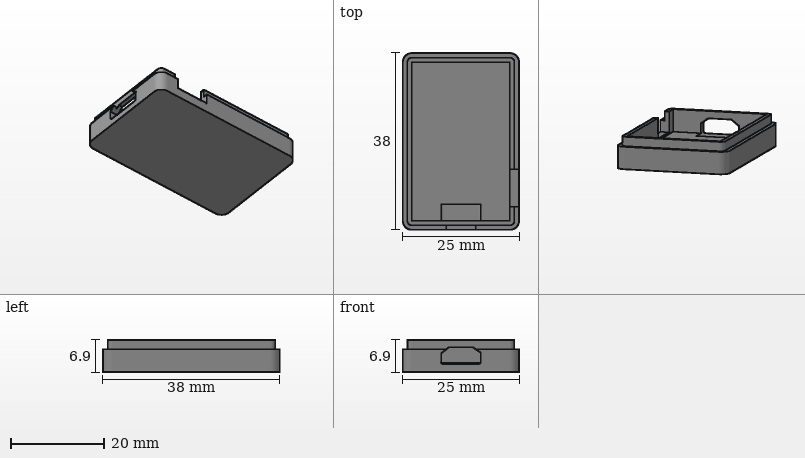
import cadquery as cq

LENGTH_X = 25.0
LENGTH_Y = 38.0
TOTAL_HEIGHT = 6.9
LIP_HEIGHT = 2.0
SHOULDER_Z = TOTAL_HEIGHT - LIP_HEIGHT
FLOOR_THICKNESS = 2.0

STEP_WIDTH = 1.0
LIP_THICKNESS = 1.0
WALL_THICKNESS = STEP_WIDTH + LIP_THICKNESS
CORNER_RADIUS = 2.0
LIP_CORNER_RADIUS = CORNER_RADIUS - STEP_WIDTH

PORT_WIDTH = 8.5
PORT_TOP_WIDTH = 5.2
PORT_BOTTOM_Z = 1.7
PORT_LEFT_SHOULDER_Z = 4.0
PORT_RIGHT_SHOULDER_Z = 4.15
PORT_TOP_Z = 5.3
PORT_CORNER_RADIUS = 0.5
PORT_DEPTH = 5.5

NOTCH_WIDTH = 8.0
NOTCH_CENTER_Y = -10.0
NOTCH_BOTTOM_Z = 2.4


def rounded_block(length_x, length_y, height, radius):
    """Upright block on Z = 0 with rounded vertical corners."""
    block = cq.Workplane("XY").box(length_x, length_y, height, centered=(True, True, False))
    return block.edges("|Z").fillet(radius)


def tray():
    """Open tray whose rim is stepped in to leave a lip."""
    base = rounded_block(LENGTH_X, LENGTH_Y, SHOULDER_Z, CORNER_RADIUS)
    lip = rounded_block(
        LENGTH_X - 2 * STEP_WIDTH,
        LENGTH_Y - 2 * STEP_WIDTH,
        TOTAL_HEIGHT,
        LIP_CORNER_RADIUS,
    )
    cavity = (
        cq.Workplane("XY")
        .workplane(offset=FLOOR_THICKNESS)
        .rect(LENGTH_X - 2 * WALL_THICKNESS, LENGTH_Y - 2 * WALL_THICKNESS)
        .extrude(TOTAL_HEIGHT - FLOOR_THICKNESS)
    )
    return base.union(lip).cut(cavity)


def port_cutter():
    """Connector profile with sloped upper corners and rounded lower corners."""
    half_width = PORT_WIDTH / 2
    half_top = PORT_TOP_WIDTH / 2
    profile = [
        (-half_width, PORT_BOTTOM_Z),
        (half_width, PORT_BOTTOM_Z),
        (half_width, PORT_RIGHT_SHOULDER_Z),
        (half_top, PORT_TOP_Z),
        (-half_top, PORT_TOP_Z),
        (-half_width, PORT_LEFT_SHOULDER_Z),
    ]
    cutter = (
        cq.Workplane("XZ", origin=(0, -LENGTH_Y / 2, 0))
        .polyline(profile)
        .close()
        .extrude(-PORT_DEPTH)
    )
    lower_corners = cutter.faces("<Z").edges("|Y")
    return lower_corners.fillet(PORT_CORNER_RADIUS)


def notch_cutter():
    """Block that removes the +X wall down to the notch sill."""
    block = cq.Workplane("XY").box(
        WALL_THICKNESS,
        NOTCH_WIDTH,
        TOTAL_HEIGHT - NOTCH_BOTTOM_Z,
        centered=(True, True, False),
    )
    wall_center_x = (LENGTH_X - WALL_THICKNESS) / 2
    return block.translate((wall_center_x, NOTCH_CENTER_Y, NOTCH_BOTTOM_Z))


result = tray().cut(port_cutter()).cut(notch_cutter())